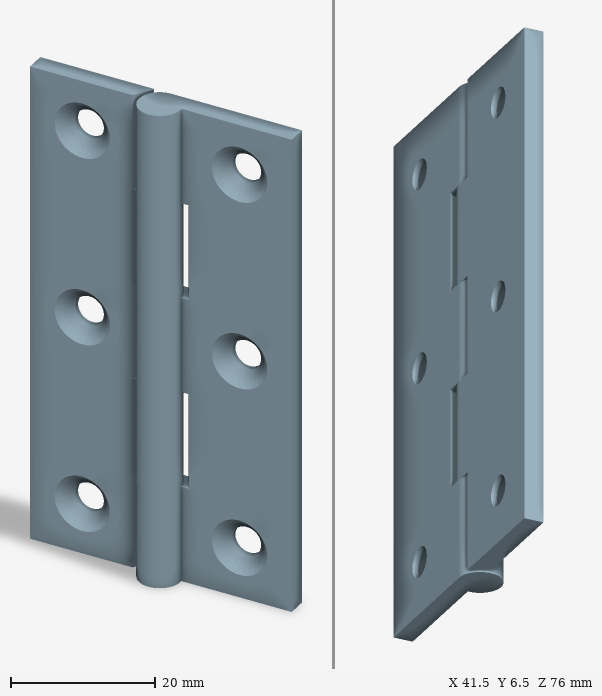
import cadquery as cq

hinge_height = 76.0
hinge_width = 41.5
barrel_diameter = 6.5
pin_diameter = 3.2
leaf_thickness = 3.0
knuckle_count = 5

relief_front = 4.5
relief_back = 2.7

hole_diameter = 4.55
countersink_diameter = 8.75
countersink_angle = 90.0
hole_offset = 12.5
hole_pitch = 30.0
holes_per_leaf = 3

barrel_radius = barrel_diameter / 2
half_width = hinge_width / 2
knuckle_height = hinge_height / knuckle_count
bottom = -hinge_height / 2
back_face = barrel_radius
front_face = back_face - leaf_thickness


def extrude_up(outline, start, height):
    return outline.extrude(height).translate((0, 0, start))


def make_pin():
    """Plain pin, flush with both ends of the barrel."""
    return extrude_up(cq.Workplane("XY").circle(pin_diameter / 2), bottom, hinge_height)


def make_plate(side):
    """Flat part of a leaf, with its slanted inner edge along the full height."""
    outline = cq.Workplane("XY").polyline([
        (side * half_width, front_face),
        (side * half_width, back_face),
        (side * relief_back, back_face),
        (side * relief_front, front_face),
    ]).close()
    return extrude_up(outline, bottom, hinge_height)


def make_knuckle(side, index):
    """One barrel section and the web that joins it to the plate, tangent to the back face."""
    start = bottom + index * knuckle_height
    barrel = extrude_up(cq.Workplane("XY").circle(barrel_radius), start, knuckle_height)
    web_outline = cq.Workplane("XY").polyline([
        (0, front_face),
        (side * relief_front, front_face),
        (side * relief_front, back_face),
        (0, back_face),
    ]).close()
    return barrel.union(extrude_up(web_outline, start, knuckle_height))


def cut_screw_holes(leaf, side):
    """Holes along Y, countersunk from the front face."""
    lowest_hole = -hole_pitch * (holes_per_leaf - 1) / 2
    centres = [
        (side * hole_offset, lowest_hole + row * hole_pitch)
        for row in range(holes_per_leaf)
    ]
    return (
        leaf.copyWorkplane(cq.Workplane("XZ", origin=(0, front_face, 0)))
        .pushPoints(centres)
        .cskHole(hole_diameter, countersink_diameter, countersink_angle)
    )


def make_leaf(side, knuckle_indices):
    """Leaf on the -X side (side = -1) or the +X side (side = 1)."""
    leaf = make_plate(side)
    for index in knuckle_indices:
        leaf = leaf.union(make_knuckle(side, index))
    pin_bore = make_pin()
    return cut_screw_holes(leaf.cut(pin_bore), side).solids()


left_leaf = make_leaf(-1, range(1, knuckle_count, 2))
right_leaf = make_leaf(1, range(0, knuckle_count, 2))
pin = make_pin()

result = cq.Compound.makeCompound([left_leaf.val(), right_leaf.val(), pin.val()])